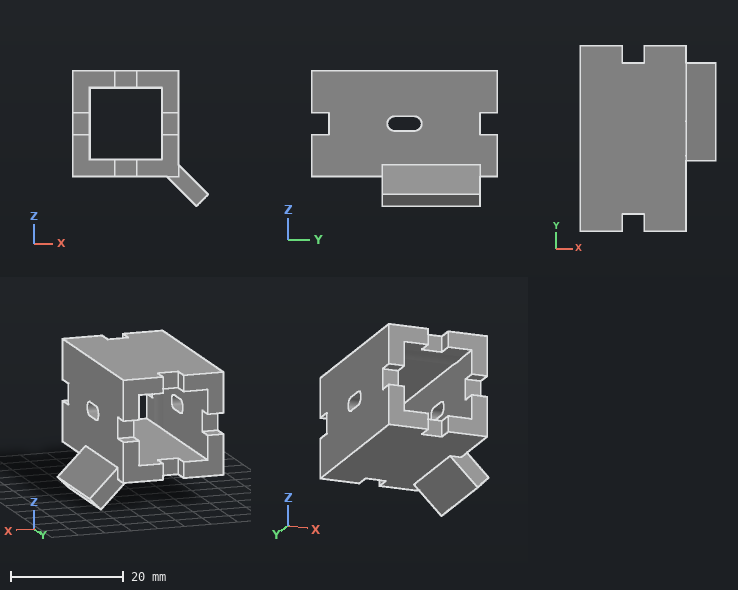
import cadquery as cq
import math

length = 33.0
outer = 18.8
wall = 2.97
bore = outer - 2 * wall

notch_width = 3.85
notch_depth = 3.07

slot_length = 6.07
slot_height = 2.55

overall_width = 24.1
tab_thickness = 3.0
tab_length = 17.4
tab_back = length / 2 - notch_depth

ridge_width = 4.8
ridge_height = 0.13
ridge_y = -9.9


def make_tube():
    """Square tube, open at both ends."""
    block = cq.Workplane("XY").box(outer, length, outer)
    return block.cut(cq.Workplane("XY").box(bore, length, bore))


def make_tab():
    """Plate along the corner diagonal, starting inside the tube wall."""
    end_reach = overall_width - outer / 2
    end_distance = math.sqrt(2) * end_reach - tab_thickness / 2
    start_distance = math.sqrt(2) * bore / 2 + tab_thickness / 2
    plate_width = end_distance - start_distance
    plate = cq.Workplane("XY").box(plate_width, tab_length, tab_thickness)
    plate = plate.translate(
        ((start_distance + end_distance) / 2, tab_back - tab_length / 2, 0)
    )
    return plate.rotate((0, 0, 0), (0, 1, 0), 45)


def make_notches():
    """Crossing bars that notch all four walls at each end."""
    bar_y = (length - notch_depth) / 2
    bars = cq.Workplane("XY")
    for y in (-bar_y, bar_y):
        bars = bars.add(cq.Workplane("XY").box(outer, notch_depth, notch_width).translate((0, y, 0)))
        bars = bars.add(cq.Workplane("XY").box(notch_width, notch_depth, outer).translate((0, y, 0)))
    return bars.combine()


def make_slot():
    """Round-ended slot running through the tube along X."""
    return cq.Workplane("YZ").slot2D(slot_length, slot_height).extrude(outer / 2, both=True)


def make_floor_ridge():
    """Ridge with an arc profile, spanning the bore floor."""
    half_width = ridge_width / 2
    floor = -bore / 2
    return (
        cq.Workplane("YZ")
        .moveTo(ridge_y - half_width, floor)
        .threePointArc((ridge_y, floor + ridge_height), (ridge_y + half_width, floor))
        .close()
        .extrude(bore / 2, both=True)
    )


result = make_tube().union(make_tab()).cut(make_notches()).cut(make_slot())

for angle in (0, 90, 180):
    result = result.union(make_floor_ridge().rotate((0, 0, 0), (0, 1, 0), angle))